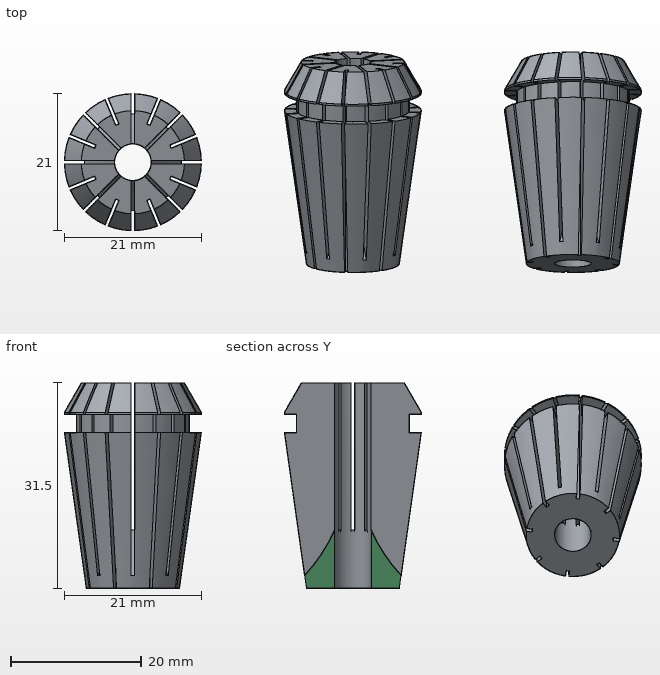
import cadquery as cq
import math

length = 31.5
max_radius = 10.5
bore_radius = 2.8

body_height = 23.9
body_half_angle = 8.0
base_radius = max_radius - body_height * math.tan(math.radians(body_half_angle))

groove_width = 2.8
groove_radius = 8.65
head_bottom = body_height + groove_width
head_land = 0.3
head_half_angle = 30.0
cone_bottom = head_bottom + head_land
top_radius = max_radius - (length - cone_bottom) * math.tan(math.radians(head_half_angle))

slit_width = 0.5
slits_per_set = 8
slit_pitch = 360.0 / slits_per_set
clearance = 1.0
cutter_radius = max_radius + clearance
cutter_top = length + clearance

deep_floor_outer_z = 2.0
deep_floor_inner_z = 9.0
deep_floor_outer_radius = base_radius + deep_floor_outer_z * math.tan(math.radians(body_half_angle))
deep_floor_arc_radius = 25.0

shallow_inner_radius = 6.25


def make_body():
    """Revolve the half section of the collet around Z."""
    section = (
        cq.Workplane("XZ")
        .moveTo(bore_radius, 0)
        .lineTo(base_radius, 0)
        .lineTo(max_radius, body_height)
        .lineTo(groove_radius, body_height)
        .lineTo(groove_radius, head_bottom)
        .lineTo(max_radius, head_bottom)
        .lineTo(max_radius, cone_bottom)
        .lineTo(top_radius, length)
        .lineTo(bore_radius, length)
        .close()
    )
    return section.revolve(360, (0, 0, 0), (0, 1, 0))


def make_deep_slit():
    """Slit from the top face into the bore, ending above the bottom face."""
    chord_r = deep_floor_outer_radius - bore_radius
    chord_z = deep_floor_inner_z - deep_floor_outer_z
    chord = math.hypot(chord_r, chord_z)
    sag = deep_floor_arc_radius - math.sqrt(deep_floor_arc_radius**2 - (chord / 2) ** 2)
    arc_mid = (
        (deep_floor_outer_radius + bore_radius) / 2 - sag * chord_z / chord,
        (deep_floor_outer_z + deep_floor_inner_z) / 2 - sag * chord_r / chord,
    )
    profile = (
        cq.Workplane("XZ")
        .moveTo(0, cutter_top)
        .lineTo(0, deep_floor_inner_z)
        .lineTo(bore_radius, deep_floor_inner_z)
        .threePointArc(arc_mid, (deep_floor_outer_radius, deep_floor_outer_z))
        .lineTo(cutter_radius, deep_floor_outer_z)
        .lineTo(cutter_radius, cutter_top)
        .close()
    )
    return profile.extrude(slit_width / 2, both=True)


def make_shallow_slit():
    """Full-length slit in the outer wall, with a flat floor parallel to Z."""
    return cq.Workplane("XY").box(
        cutter_radius - shallow_inner_radius,
        slit_width,
        cutter_top + clearance,
        centered=(False, True, False),
    ).translate((shallow_inner_radius, 0, -clearance))


def cut_around(body, cutter, first_angle):
    """Cut one evenly spaced set of slits, starting at first_angle from +X."""
    for index in range(slits_per_set):
        angle = first_angle + index * slit_pitch
        body = body.cut(cutter.rotate((0, 0, 0), (0, 0, 1), angle))
    return body


result = make_body()
result = cut_around(result, make_deep_slit(), 0)
result = cut_around(result, make_shallow_slit(), slit_pitch / 2)